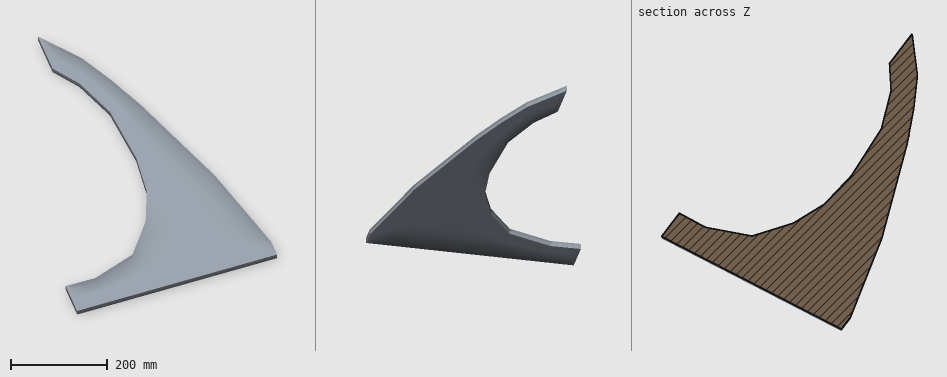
import cadquery as cq

length = 710.0
height = 440.0
thickness = 12.0

tip_level = 169.0
tip_width = 90.0
foot_width = 70.0
top_flat_width = 36.0

outer_corners = [
    (84.5, 235.0),
    (159.0, 272.5),
    (241.5, 308.0),
    (471.0, 390.0),
]

inner_corners = [
    (641.0, 64.5),
    (608.5, 158.0),
    (535.0, 214.0),
    (461.0, 243.0),
    (371.0, 252.0),
    (238.5, 242.0),
    (146.0, 208.0),
]

outline = [
    (0, tip_level),
    *outer_corners,
    (length - top_flat_width, height),
    (length, height),
    (length, 0),
    (length - foot_width, 0),
    *inner_corners,
    (tip_width, tip_level),
]

result = cq.Workplane("XY").polyline(outline).close().extrude(thickness)